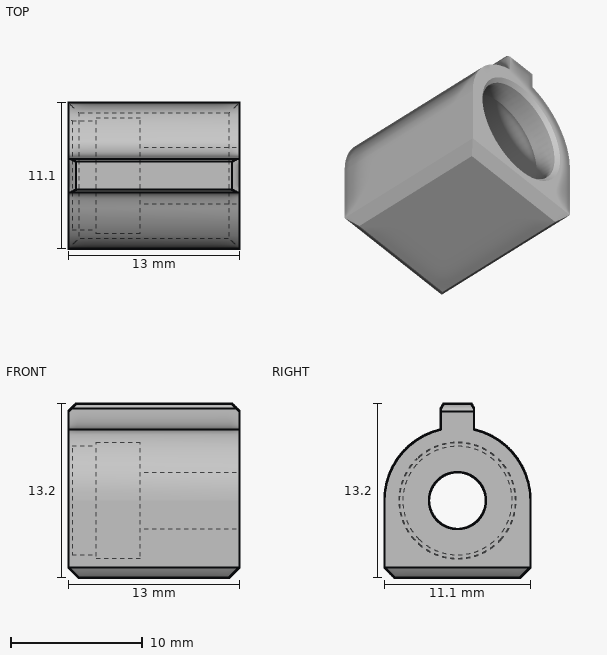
import cadquery as cq

length = 13.0
width = 11.1
height = 13.22
round_radius = width / 2
axis_height = 5.85
base_chamfer = 0.79

rib_width = 2.54
rib_end_chamfer = 0.6
rib_side_chamfer_width = 0.21
rib_side_chamfer_height = 0.4

bore_diameter = 8.28
bore_mouth_diameter = 8.88
bore_mouth_depth = (bore_mouth_diameter - bore_diameter) / 2
bore_depth = 5.45

relief_diameter = 8.78
relief_start = 2.12

through_diameter = 4.3


def make_body():
    """Flat-sided block with a half-round top and a chamfered base."""
    profile = (
        cq.Workplane("YZ")
        .moveTo(-round_radius, 0)
        .lineTo(round_radius, 0)
        .lineTo(round_radius, axis_height)
        .threePointArc((0, axis_height + round_radius), (-round_radius, axis_height))
        .close()
    )
    return profile.extrude(length).faces("<Z").edges().chamfer(base_chamfer)


def make_rib():
    """Key with steep bevels on its long sides and 45 degree bevels on its ends."""
    half_width = rib_width / 2
    half_top = half_width - rib_side_chamfer_width
    shoulder = height - rib_side_chamfer_height
    cross_section = (
        cq.Workplane("YZ")
        .polyline([
            (-half_width, axis_height),
            (half_width, axis_height),
            (half_width, shoulder),
            (half_top, height),
            (-half_top, height),
            (-half_width, shoulder),
        ])
        .close()
        .extrude(length)
    )
    side_outline = (
        cq.Workplane("XZ")
        .polyline([
            (0, axis_height),
            (length, axis_height),
            (length, height - rib_end_chamfer),
            (length - rib_end_chamfer, height),
            (rib_end_chamfer, height),
            (0, height - rib_end_chamfer),
        ])
        .close()
        .extrude(half_width, both=True)
    )
    return cross_section.intersect(side_outline)


def make_bore():
    """Stepped bore with a wider relief behind its mouth, revolved about the long axis."""
    bore_radius = bore_diameter / 2
    relief_radius = relief_diameter / 2
    through_radius = through_diameter / 2
    return (
        cq.Workplane("XY")
        .polyline([
            (0, 0),
            (0, bore_mouth_diameter / 2),
            (bore_mouth_depth, bore_radius),
            (relief_start, bore_radius),
            (relief_start, relief_radius),
            (bore_depth, relief_radius),
            (bore_depth, through_radius),
            (length, through_radius),
            (length, 0),
        ])
        .close()
        .revolve(360, (0, 0, 0), (1, 0, 0))
        .translate((0, 0, axis_height))
    )


result = make_body().union(make_rib()).cut(make_bore())